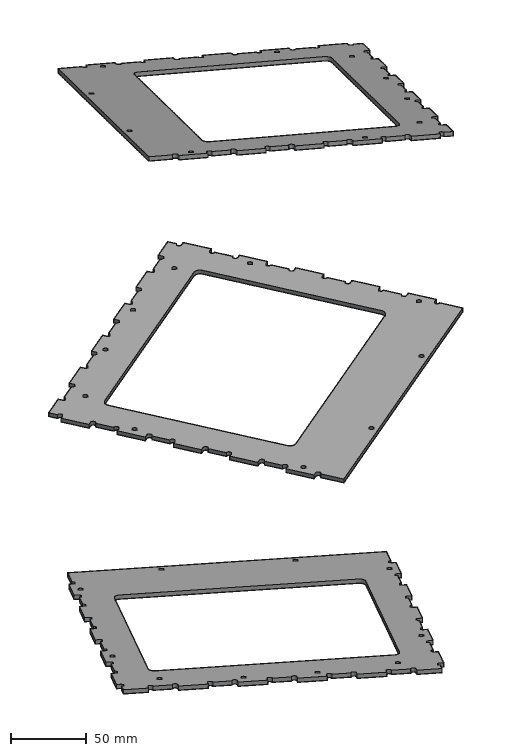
import cadquery as cq

overall_width = 220.0
height = 210.0
thickness = 3.0

finger_depth = 2.9
finger_length = 20.0
finger_pitch = 2 * finger_length
finger_steps = (-2, -1, 0, 1, 2)
side_finger_center_y = 5.0
relief_diameter = 3.5

window_width = 169.0
window_height = 136.0
window_center_y = 7.7
window_corner_radius = 4.5

hole_diameter = 3.3
side_hole_edge_gap = 6.2
side_hole_steps = (-2, 1)
inner_top_hole_x = 24.9
inner_top_hole_edge_gap = 8.0
outer_top_hole_x = 80.0
outer_top_hole_edge_gap = 15.5
bottom_hole_x = 45.0
bottom_hole_edge_gap = 4.8

body_width = overall_width - 2 * finger_depth
top_y = height / 2
bottom_y = -height / 2
notch_floor_y = top_y - finger_depth


def mirrored(points):
    """Return the points together with their mirror images across the YZ plane."""
    return points + [(-x, y) for x, y in points]


def plate(width, length, centers):
    """Rectangular plates of the sheet thickness, centred on the given points."""
    return cq.Workplane("XY").pushPoints(centers).rect(width, length).extrude(thickness)


def discs(diameter, centers):
    """Round cutters of the sheet thickness, centred on the given points."""
    return cq.Workplane("XY").pushPoints(centers).circle(diameter / 2).extrude(thickness)


def side_finger_y(step):
    """Y position of a side finger's centre, counted in pitches from the middle finger."""
    return side_finger_center_y + step * finger_pitch


sheet = plate(body_width, height, [(0, 0)])
finger_centers = [(0, side_finger_y(step)) for step in finger_steps]
sheet = sheet.union(plate(overall_width, finger_length, finger_centers))

notch_xs = [step * finger_pitch for step in finger_steps]
notch_centers = [(x, top_y - finger_depth / 2) for x in notch_xs]
sheet = sheet.cut(plate(finger_length, finger_depth, notch_centers))

side_relief_offset = (finger_length + relief_diameter) / 2
side_reliefs = [
    (body_width / 2, side_finger_y(step) + direction * side_relief_offset)
    for step in finger_steps
    for direction in (-1, 1)
]
sheet = sheet.cut(discs(relief_diameter, mirrored(side_reliefs)))

top_relief_offset = (finger_length - relief_diameter) / 2
top_reliefs = [
    (x + direction * top_relief_offset, notch_floor_y)
    for x in notch_xs
    for direction in (-1, 1)
]
sheet = sheet.cut(discs(relief_diameter, top_reliefs))

window = plate(window_width, window_height, [(0, window_center_y)])
sheet = sheet.cut(window.edges("|Z").fillet(window_corner_radius))

side_hole_x = overall_width / 2 - side_hole_edge_gap
hole_centers = [(side_hole_x, side_finger_y(step)) for step in side_hole_steps]
hole_centers += [
    (inner_top_hole_x, top_y - inner_top_hole_edge_gap),
    (outer_top_hole_x, top_y - outer_top_hole_edge_gap),
    (bottom_hole_x, bottom_y + bottom_hole_edge_gap),
]
sheet = sheet.cut(discs(hole_diameter, mirrored(hole_centers)))

result = sheet.translate((0, 0, -thickness / 2))